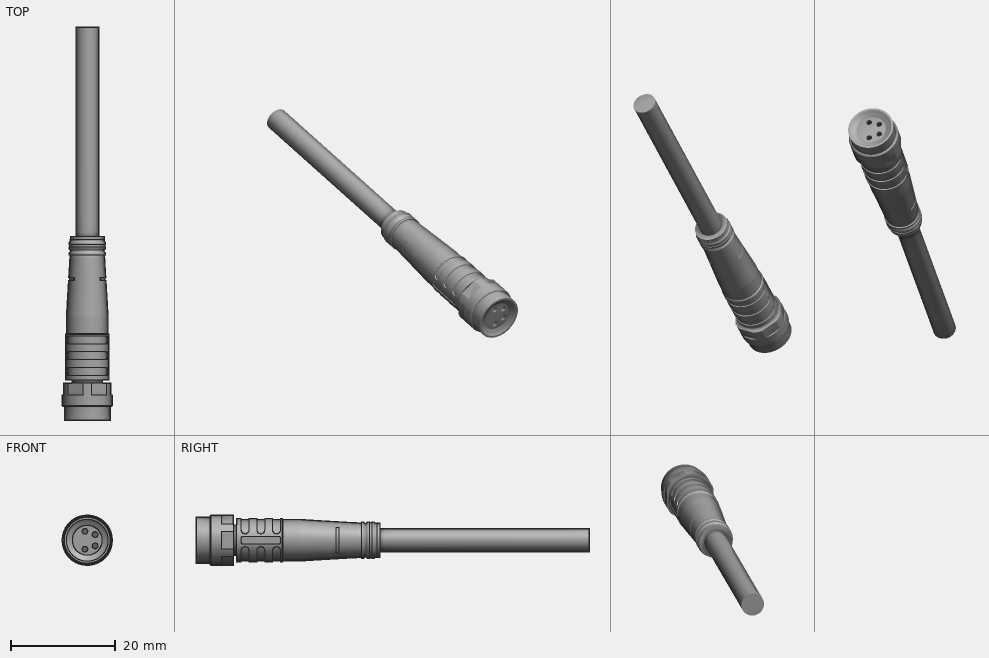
import cadquery as cq


total_length = 75.1
cable_diameter = 4.4
cable_exit = 35.15

nose_diameter = 8.8
collar_diameter = 9.6
collar_start = 2.6
collar_chamfer = 0.2
nut_end = 7.1
flat_count = 6
across_flats = 9.0
flat_start = 4.85

recess_mouth_diameter = 8.0
recess_step_diameter = 7.2
recess_step_depth = 0.3
insert_diameter = 5.7
insert_depth = 0.7

socket_diameter = 1.1
socket_depth = 1.5
socket_left = (-0.45, 1.7)
socket_right = (1.5, 1.08)

neck_diameter = 5.9
grip_start = 7.7
grip_diameter = 8.4
grip_end = 16.6
grip_chamfer = 0.2

pocket_floor_diameter = 8.0
pocket_width = 1.5
pocket_pitch = 3.0
pocket_count = 3
pocket_start = 8.6
ring_pocket_tip = 1.23
side_pocket_fillet = 0.4

body_diameter = 8.0
taper_start = 19.75
taper_end_diameter = 6.65
taper_end = 31.1

side_groove_start = 26.75
side_groove_end = 27.25
side_groove_width = 4.8
side_groove_depth = 0.15

relief_diameter = 6.5
ring_diameter = 7.0
front_ring_start = 31.55
front_ring_end = 31.9
valley_diameter = 6.4
valley_center = 32.35
middle_ring_start = 32.8
middle_ring_end = 33.1
land_diameter = 6.8
rear_ring_start = 33.6
rear_ring_end = 33.9
shoulder_diameter = 6.6
shoulder_start = 34.15
shoulder_end = 34.55


def revolve_profile(stations):
    """Solid of revolution about Y through (diameter, y) stations."""
    points = [(diameter / 2, y) for diameter, y in stations]
    outline = [(0, stations[0][1])] + points + [(0, stations[-1][1])]
    return cq.Workplane("XY").polyline(outline).close().revolve(360, (0, 0, 0), (0, 1, 0))


def disc_plane(y):
    """Plane across the axis at y, with local x along X and local y along Z."""
    return cq.Workplane(cq.Plane(origin=(0, y, 0), xDir=(1, 0, 0), normal=(0, -1, 0)))


def cylinder(diameter, start, end):
    return disc_plane(end).circle(diameter / 2).extrude(end - start)


def taper_diameter(y):
    share = (y - taper_start) / (taper_end - taper_start)
    return body_diameter + share * (taper_end_diameter - body_diameter)


def coupling_nut():
    nut = revolve_profile([
        (nose_diameter, 0),
        (nose_diameter, collar_start),
        (collar_diameter - 2 * collar_chamfer, collar_start),
        (collar_diameter, collar_start + collar_chamfer),
        (collar_diameter, nut_end),
    ])
    flat_length = nut_end - flat_start
    hexagon = disc_plane(nut_end).polygon(flat_count, across_flats, circumscribed=True).extrude(flat_length)
    flat_trim = cylinder(2 * collar_diameter, flat_start, nut_end).cut(hexagon)
    return nut.cut(flat_trim)


def mating_recess():
    return revolve_profile([
        (recess_mouth_diameter, 0),
        (recess_step_diameter, recess_step_depth),
        (insert_diameter, insert_depth),
    ])


def sockets():
    x_left, z_left = socket_left
    x_right, z_right = socket_right
    centers = [(x_left, z_left), (x_left, -z_left), (x_right, z_right), (x_right, -z_right)]
    bottom = insert_depth + socket_depth
    return disc_plane(bottom).pushPoints(centers).circle(socket_diameter / 2).extrude(bottom)


def molded_body():
    return revolve_profile([
        (neck_diameter, nut_end),
        (neck_diameter, grip_start),
        (grip_diameter, grip_start),
        (grip_diameter, grip_end - grip_chamfer),
        (body_diameter, grip_end),
        (body_diameter, taper_start),
        (taper_end_diameter, taper_end),
        (relief_diameter, front_ring_start),
    ])


def strain_relief():
    """Two rings joined by a smooth valley, a narrow land, and a third ring fading into a shoulder."""
    relief_radius = relief_diameter / 2
    ring_radius = ring_diameter / 2
    land_radius = land_diameter / 2
    shoulder_radius = shoulder_diameter / 2
    axial = [(0, 1), (0, 1)]
    valley_curve = [
        (ring_radius, front_ring_end),
        (valley_diameter / 2, valley_center),
        (ring_radius, middle_ring_start),
        (ring_radius, middle_ring_end),
    ]
    shoulder_curve = [
        (ring_radius, rear_ring_end),
        (shoulder_radius, shoulder_start),
        (shoulder_radius, shoulder_end),
    ]
    return (
        cq.Workplane("XY")
        .moveTo(0, front_ring_start)
        .lineTo(ring_radius, front_ring_start)
        .spline(valley_curve, tangents=axial, includeCurrent=True)
        .lineTo(land_radius, middle_ring_end)
        .lineTo(land_radius, rear_ring_start)
        .lineTo(ring_radius, rear_ring_start)
        .spline(shoulder_curve, tangents=axial, includeCurrent=True)
        .lineTo(relief_radius, shoulder_end)
        .lineTo(relief_radius, cable_exit)
        .lineTo(0, cable_exit)
        .close()
        .revolve(360, (0, 0, 0), (0, 1, 0))
    )


def grip_pockets():
    """Three round-ended ring pockets above and below, and one long pocket on each X side."""
    length = pocket_width + (pocket_count - 1) * pocket_pitch
    middle = pocket_start + length / 2
    reach = grip_diameter / 2
    windows = cq.Workplane("XY")
    for index in range(pocket_count):
        y = pocket_start + pocket_width / 2 + index * pocket_pitch
        for side in (1, -1):
            tip_center = side * (ring_pocket_tip + pocket_width / 2)
            slot = (
                cq.Workplane("YZ")
                .center(y, tip_center + side * reach / 2)
                .slot2D(reach + pocket_width, pocket_width, 90)
                .extrude(collar_diameter, both=True)
            )
            windows = windows.add(slot)
    band = cylinder(grip_diameter, pocket_start, pocket_start + length)
    band = band.cut(cylinder(pocket_floor_diameter, pocket_start, pocket_start + length))
    pockets = band.intersect(windows.combine())
    for side in (1, -1):
        side_pocket = (
            cq.Workplane("XY")
            .box(reach, length, pocket_width)
            .edges("|X")
            .fillet(side_pocket_fillet)
            .translate((side * (pocket_floor_diameter + reach) / 2, middle, 0))
        )
        pockets = pockets.add(side_pocket)
    return pockets.combine()


def side_grooves():
    """Arc-shaped grooves around the taper, limited to the middle band of each X side."""
    length = side_groove_end - side_groove_start
    middle = side_groove_start + length / 2
    floor = revolve_profile([
        (taper_diameter(side_groove_start) - 2 * side_groove_depth, side_groove_start),
        (taper_diameter(side_groove_end) - 2 * side_groove_depth, side_groove_end),
    ])
    band = cq.Workplane("XY").box(collar_diameter, length, side_groove_width).translate((0, middle, 0))
    return band.cut(floor)


nut = coupling_nut().cut(mating_recess()).cut(sockets())
body = molded_body().cut(grip_pockets()).cut(side_grooves())
cable = cylinder(cable_diameter, cable_exit, total_length)
result = nut.union(body).union(strain_relief()).union(cable)